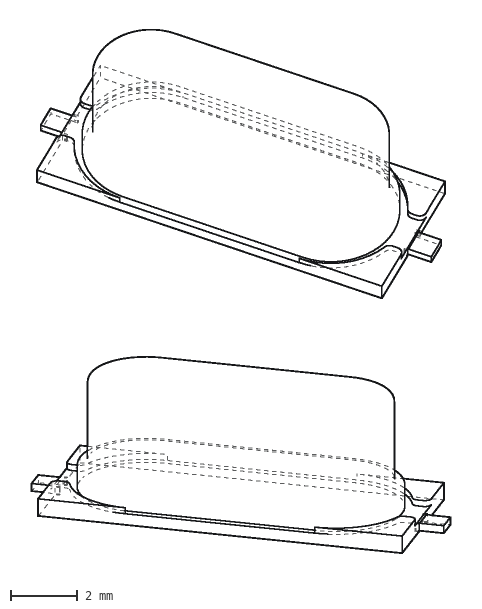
import cadquery as cq

base_length = 11.3
base_width = 4.6
base_height = 0.55

recess_floor = 0.36
recess_radius = base_width / 2
channel_width = 1.41
channel_fillet = 0.2

overall_length = 12.8
lead_width = 0.74
lead_thickness = 0.24
groove_clearance = 0.06
groove_depth = 0.13

overall_height = 3.92
end_center_span = 5.89
can_radius = 1.75
can_top_fillet = 0.2
flange_radius = 2.06
flange_top = 1.16
flange_fillet = 0.12

selection_margin = 0.01


def stadium(radius, bottom, top):
    """Upright prism with straight sides and half-round ends along X."""
    outline = cq.Workplane("XY").workplane(offset=bottom)
    return outline.slot2D(end_center_span + 2 * radius, 2 * radius).extrude(top - bottom)


def block(length, width, bottom, top):
    """Box centred in X and Y between two heights."""
    return cq.Workplane("XY").workplane(offset=bottom).rect(length, width).extrude(top - bottom)


def make_base():
    """Plate with a stadium recess that opens at the ends through rounded channels."""
    recess = stadium(recess_radius, recess_floor, base_height)
    channel = block(base_length, channel_width, recess_floor, base_height)
    base = block(base_length, base_width, 0, base_height).cut(recess).cut(channel)

    channel_edges = cq.selectors.BoxSelector(
        (-base_length, -channel_width / 2 - selection_margin, recess_floor),
        (base_length, channel_width / 2 + selection_margin, base_height),
    )
    return base.edges("|Z").edges(channel_edges).fillet(channel_fillet)


def make_leads():
    """Flat leads running from the grooves to both ends."""
    inner_end = base_length / 2 - groove_depth
    lead_length = overall_length / 2 - inner_end
    lead = block(lead_length, lead_width, 0, lead_thickness)
    lead_center = inner_end + lead_length / 2
    left = lead.translate((-lead_center, 0, 0))
    return left.union(lead.translate((lead_center, 0, 0)))


def make_grooves():
    """Clearance around the leads at the end faces of the base."""
    groove_width = lead_width + 2 * groove_clearance
    full_length = block(base_length, groove_width, 0, lead_thickness)
    return full_length.cut(block(base_length - 2 * groove_depth, groove_width, 0, lead_thickness))


def make_can():
    """Stepped can: rounded flange, blended foot and rounded top."""
    flange = stadium(flange_radius, recess_floor, flange_top)
    flange = flange.faces(">Z").edges().fillet(flange_fillet)
    body = stadium(can_radius, flange_top, overall_height)
    body = body.faces(">Z").edges().fillet(can_top_fillet)
    foot_edge = cq.selectors.BoxSelector(
        (-overall_length, -can_radius - selection_margin, flange_top - selection_margin),
        (overall_length, can_radius + selection_margin, flange_top + selection_margin),
    )
    can = flange.union(body)
    return can.edges("#Z").edges(foot_edge).fillet(flange_fillet)


base = make_base().cut(make_grooves())
result = base.union(make_leads()).union(make_can())